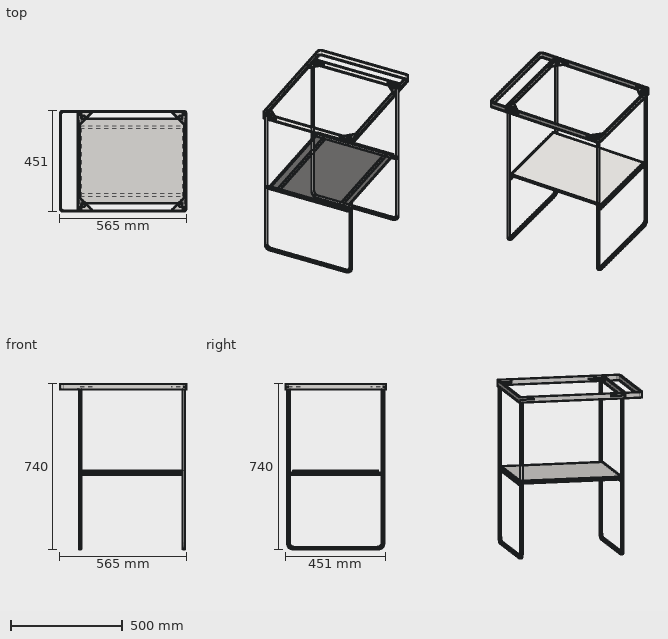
import cadquery as cq

LENGTH = 565.0
DEPTH = 451.0
HEIGHT = 740.0

RIM_HEIGHT = 25.0
RIM_WALL = 5.0
RIM_RADIUS = 15.0
DIVIDER_X = 78.5

GUSSET_LEG = 62.0
GUSSET_THICKNESS = 2.0
GUSSET_RISE = 12.0
GUSSET_HOLE_DIAMETER = 15.0
GUSSET_HOLE_OFFSET_X = 20.0
GUSSET_HOLE_OFFSET_Y = 24.0

ROD_DIAMETER = 12.0
LEG_INSET = 14.0
LEG_RIM_GAP_X = 1.0
LEG_BEND_RADIUS = 22.0
BEARER_TOP = 345.0
CROSS_ROD_INSET = 60.0

SHELF_LENGTH = 471.0
SHELF_DEPTH = 380.0
SHELF_THICKNESS = 9.0
SHELF_CHAMFER = 2.0

ROD_RADIUS = ROD_DIAMETER / 2
HALF_LENGTH = LENGTH / 2
HALF_DEPTH = DEPTH / 2
RIM_BOTTOM = HEIGHT - RIM_HEIGHT
GUSSET_BOTTOM = RIM_BOTTOM + GUSSET_RISE
GUSSET_TOP = GUSSET_BOTTOM + GUSSET_THICKNESS
BEARER_Z = BEARER_TOP - ROD_RADIUS
BAY_LEFT = -HALF_LENGTH + DIVIDER_X + RIM_WALL
BAY_RIGHT = HALF_LENGTH - RIM_WALL
BAY_HALF_DEPTH = HALF_DEPTH - RIM_WALL
LEG_Y = HALF_DEPTH - LEG_INSET
LEG_LEFT = BAY_LEFT + LEG_RIM_GAP_X + ROD_RADIUS
LEG_RIGHT = BAY_RIGHT - LEG_RIM_GAP_X - ROD_RADIUS
CROSS_ROD_Y = LEG_Y - CROSS_ROD_INSET


def make_rim():
    """Rim with its divider bar, and the solid block the rim encloses."""
    outer = (
        cq.Workplane("XY", origin=(0, 0, RIM_BOTTOM))
        .rect(LENGTH, DEPTH)
        .extrude(RIM_HEIGHT)
        .edges("|Z")
        .fillet(RIM_RADIUS)
    )
    inner = (
        cq.Workplane("XY", origin=(0, 0, RIM_BOTTOM))
        .rect(LENGTH - 2 * RIM_WALL, DEPTH - 2 * RIM_WALL)
        .extrude(RIM_HEIGHT)
        .edges("|Z")
        .fillet(RIM_RADIUS - RIM_WALL)
    )
    divider = cq.Workplane("XY").box(
        RIM_WALL, DEPTH - RIM_WALL, RIM_HEIGHT, centered=(False, True, False)
    ).translate((BAY_LEFT - RIM_WALL, 0, RIM_BOTTOM))
    return outer.cut(inner).union(divider), outer


def make_gusset(corner_x, corner_y, inward_x, inward_y):
    """Triangular plate in one corner of the bay, with a screw hole."""
    root_x = corner_x - inward_x * RIM_WALL / 2
    root_y = corner_y - inward_y * RIM_WALL / 2
    plate = (
        cq.Workplane("XY", origin=(0, 0, GUSSET_BOTTOM))
        .polyline([
            (root_x, root_y),
            (corner_x + inward_x * GUSSET_LEG, root_y),
            (corner_x + inward_x * GUSSET_LEG, corner_y),
            (corner_x, corner_y + inward_y * GUSSET_LEG),
            (root_x, corner_y + inward_y * GUSSET_LEG),
        ])
        .close()
        .extrude(GUSSET_THICKNESS)
    )
    hole = (
        cq.Workplane("XY", origin=(0, 0, GUSSET_BOTTOM))
        .center(corner_x + inward_x * GUSSET_HOLE_OFFSET_X, corner_y + inward_y * GUSSET_HOLE_OFFSET_Y)
        .circle(GUSSET_HOLE_DIAMETER / 2)
        .extrude(GUSSET_THICKNESS)
    )
    return plate.cut(hole)


def make_rod(start, direction, length):
    """Straight round rod."""
    return cq.Workplane(cq.Solid.makeCylinder(
        ROD_RADIUS, length, cq.Vector(*start), cq.Vector(*direction)
    ))


def make_leg_loop(x):
    """U-shaped rod: two legs joined by a floor run with round bends."""
    floor_z = ROD_RADIUS
    path = (
        cq.Workplane("YZ", origin=(x, 0, 0))
        .moveTo(-LEG_Y, GUSSET_TOP)
        .lineTo(-LEG_Y, floor_z + LEG_BEND_RADIUS)
        .tangentArcPoint((LEG_BEND_RADIUS, -LEG_BEND_RADIUS))
        .lineTo(LEG_Y - LEG_BEND_RADIUS, floor_z)
        .tangentArcPoint((LEG_BEND_RADIUS, LEG_BEND_RADIUS))
        .lineTo(LEG_Y, GUSSET_TOP)
    )
    return (
        cq.Workplane("XY", origin=(x, -LEG_Y, GUSSET_TOP))
        .circle(ROD_RADIUS)
        .sweep(path)
    )


def make_frame():
    """Rim, gussets, leg loops and bearer rods joined as one body."""
    frame, rim_block = make_rim()
    for corner_x, inward_x in ((BAY_LEFT, 1), (BAY_RIGHT, -1)):
        for side in (-1, 1):
            gusset = make_gusset(corner_x, side * BAY_HALF_DEPTH, inward_x, -side)
            frame = frame.union(gusset.intersect(rim_block))
    for x in (LEG_LEFT, LEG_RIGHT):
        frame = frame.union(make_leg_loop(x))
        frame = frame.union(make_rod((x, -LEG_Y, BEARER_Z), (0, 1, 0), 2 * LEG_Y))
    for y in (-CROSS_ROD_Y, CROSS_ROD_Y):
        frame = frame.union(make_rod((LEG_LEFT, y, BEARER_Z), (1, 0, 0), LEG_RIGHT - LEG_LEFT))
    return frame


def make_shelf():
    """Flat board with chamfered rims, resting on the bearer rods."""
    board = cq.Workplane("XY").box(
        SHELF_LENGTH, SHELF_DEPTH, SHELF_THICKNESS, centered=(True, True, False)
    ).translate(((LEG_LEFT + LEG_RIGHT) / 2, 0, BEARER_TOP))
    return board.faces("|Z").edges().chamfer(SHELF_CHAMFER)


frame = make_frame()
shelf = make_shelf()

result = cq.Compound.makeCompound([frame.val(), shelf.val()])